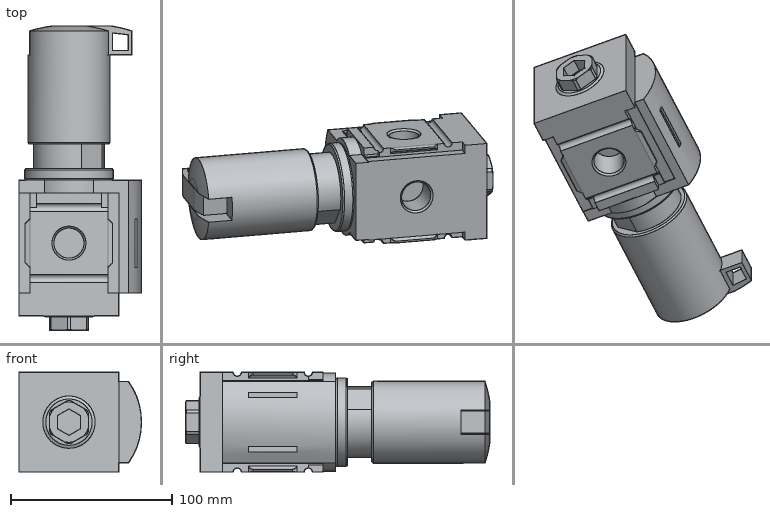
import cadquery as cq
import math


BLOCK_WIDTH = 62.0
HALF_BLOCK = BLOCK_WIDTH / 2
REAR_Y = -45.0
SHELF_HALF_LENGTH = 31.0
SHELF_HALF_HEIGHT = 25.7
PAD_HALF_WIDTH = 24.2

COLLAR_FRONT_Y = 39.0
COLLAR_HALF_HEIGHT = 25.2
BUMP_HALF_WIDTH = 15.1
BUMP_TOP_Z = 30.6
CAP_EDGE_X = 36.9
CAP_TOP_X = 45.0

WINDOW_LENGTH = 30.0
WINDOW_HALF_HEIGHT = 15.2
WINDOW_STEP_X = 40.9

GROOVE_RADIUS = 2.5
GROOVE_Y = 22.0
NOTCH_WIDTH = 4.1
NOTCH_FLOOR_Z = 26.4
LIP_LENGTH = 30.0
LIP_REACH = 2.9
LIP_TOP_DROP = 0.6
LIP_FACE_HEIGHT = 1.2
LIP_ROOT_DROP = 3.7

PORT_DIAMETER = 18.63
PORT_MOUTH_DIAMETER = 21.0
PORT_CHAMFER = (PORT_MOUTH_DIAMETER - PORT_DIAMETER) / 2
PORT_DEPTH = 20.0

PLUG_END_Y = -54.0
SEAT_DIAMETER = 32.4
SEAT_TOP_DIAMETER = 28.7
SEAT_HEIGHT = 0.8
PLUG_FLATS = 24.0
PLUG_DIAMETER = 26.6
PLUG_END_DIAMETER = 25.0
PLUG_END_CHAMFER = 0.5
SOCKET_FLATS = 14.2
SOCKET_DEPTH = 8.0

FLANGE_DIAMETER = 55.0
FLANGE_TOP_Y = 46.25
FLANGE_RIM_DIAMETER = 53.8
FLANGE_CHAMFER_HEIGHT = 1.0
NECK_DIAMETER = 44.0
NECK_FLATS = 40.1
KNOB_DIAMETER = 51.0
KNOB_RADIUS = KNOB_DIAMETER / 2
KNOB_BASE_Y = 61.25
KNOB_TOP_Y = 134.5
KNOB_CHAMFER = 1.0
DOME_RADIUS = 82.0
DOME_FLAT_RADIUS = 13.0

SLOT_WIDTH = 15.0
BAR_WIDTH = 14.0
BAR_HEIGHT = 17.9
BAR_SHIFT = 13.5
EYE_LEFT_X = 27.1
EYE_END_WALL = 2.4
EYE_BOTTOM_WALL = 2.8
EYE_LEFT_TOP_WALL = 4.4
EYE_RIGHT_TOP_WALL = 5.5


def dome_y(radius):
    """Y of the crowned knob end at a distance from its axis; the middle is flat."""
    centre_y = KNOB_TOP_Y - math.sqrt(DOME_RADIUS**2 - DOME_FLAT_RADIUS**2)
    return centre_y + math.sqrt(DOME_RADIUS**2 - radius**2)


def box(x_range, y_range, z_range):
    """Box between two limits on each axis."""
    lengths = [high - low for low, high in (x_range, y_range, z_range)]
    return cq.Workplane("XY").box(*lengths, centered=False).translate(
        (x_range[0], y_range[0], z_range[0]))


def along_y(start_y):
    """Sketch plane with its local axes along X and Z; extrusions run towards -Y."""
    return cq.Workplane("XZ", origin=(0, start_y, 0))


def with_mirror(shape, plane):
    """Shape together with its mirror image."""
    return shape.union(shape.mirror(plane))


def make_block():
    """Block with a grooved pad above and below, between two lower shelves."""
    block = box((-HALF_BLOCK, HALF_BLOCK), (REAR_Y, SHELF_HALF_LENGTH), (-HALF_BLOCK, HALF_BLOCK))
    shelf = box((PAD_HALF_WIDTH, HALF_BLOCK), (-SHELF_HALF_LENGTH, SHELF_HALF_LENGTH),
                (SHELF_HALF_HEIGHT, HALF_BLOCK))
    notch = box((PAD_HALF_WIDTH - NOTCH_WIDTH, PAD_HALF_WIDTH), (GROOVE_Y, SHELF_HALF_LENGTH),
                (NOTCH_FLOOR_Z, HALF_BLOCK))
    grooves = (cq.Workplane("YZ", origin=(-PAD_HALF_WIDTH, 0, 0))
               .pushPoints([(GROOVE_Y, HALF_BLOCK), (-GROOVE_Y, HALF_BLOCK)])
               .circle(GROOVE_RADIUS).extrude(2 * PAD_HALF_WIDTH))
    cuts = with_mirror(shelf.union(notch), "YZ").union(grooves)
    return block.cut(with_mirror(cuts, "XY"))


def make_lips():
    """Undercut lips with bevelled ends along both edges of each pad."""
    tip_x = PAD_HALF_WIDTH + LIP_REACH
    root_z = HALF_BLOCK - LIP_ROOT_DROP
    face_top_z = HALF_BLOCK - LIP_TOP_DROP
    face_bottom_z = face_top_z - LIP_FACE_HEIGHT
    hollow = (PAD_HALF_WIDTH + LIP_REACH / 3, (root_z + 2 * face_bottom_z) / 3)
    half_length = LIP_LENGTH / 2
    profile = (along_y(half_length).moveTo(PAD_HALF_WIDTH, HALF_BLOCK)
               .lineTo(tip_x, face_top_z).lineTo(tip_x, face_bottom_z)
               .threePointArc(hollow, (PAD_HALF_WIDTH, root_z)).close()
               .extrude(LIP_LENGTH))
    outline = (cq.Workplane("XY")
               .polyline([(PAD_HALF_WIDTH, half_length), (tip_x, half_length - LIP_REACH),
                          (tip_x, LIP_REACH - half_length), (PAD_HALF_WIDTH, -half_length)])
               .close().extrude(HALF_BLOCK))
    lip = profile.intersect(outline)
    return with_mirror(with_mirror(lip, "YZ"), "XY")


def make_cap():
    """Crowned gauge cap on the +X side, as long as the collar and the shelves together."""
    length = COLLAR_FRONT_Y + SHELF_HALF_LENGTH
    cap = (along_y(COLLAR_FRONT_Y).moveTo(HALF_BLOCK, -COLLAR_HALF_HEIGHT)
           .lineTo(CAP_EDGE_X, -COLLAR_HALF_HEIGHT)
           .threePointArc((CAP_TOP_X, 0), (CAP_EDGE_X, COLLAR_HALF_HEIGHT))
           .lineTo(HALF_BLOCK, COLLAR_HALF_HEIGHT).close().extrude(length))
    step = box((WINDOW_STEP_X, CAP_TOP_X), (-WINDOW_LENGTH / 2, WINDOW_LENGTH / 2),
               (WINDOW_HALF_HEIGHT, COLLAR_HALF_HEIGHT))
    return cap.cut(with_mirror(step, "XY"))


def make_collar():
    """Front part of the block, with a round bump above and below."""
    return (along_y(COLLAR_FRONT_Y).moveTo(-HALF_BLOCK, COLLAR_HALF_HEIGHT)
            .lineTo(-BUMP_HALF_WIDTH, COLLAR_HALF_HEIGHT)
            .threePointArc((0, BUMP_TOP_Z), (BUMP_HALF_WIDTH, COLLAR_HALF_HEIGHT))
            .lineTo(HALF_BLOCK, COLLAR_HALF_HEIGHT).lineTo(HALF_BLOCK, -COLLAR_HALF_HEIGHT)
            .lineTo(BUMP_HALF_WIDTH, -COLLAR_HALF_HEIGHT)
            .threePointArc((0, -BUMP_TOP_Z), (-BUMP_HALF_WIDTH, -COLLAR_HALF_HEIGHT))
            .lineTo(-HALF_BLOCK, -COLLAR_HALF_HEIGHT).close()
            .extrude(COLLAR_FRONT_Y - SHELF_HALF_LENGTH))


def make_port(direction):
    """Blind port entering the block from the face that looks along the direction."""
    mouth = cq.Plane(origin=direction * HALF_BLOCK, xDir=(0, 1, 0), normal=direction * -1)
    bore = cq.Workplane(mouth).circle(PORT_DIAMETER / 2).extrude(PORT_DEPTH)
    entry = (cq.Workplane(mouth).circle(PORT_MOUTH_DIAMETER / 2)
             .workplane(offset=PORT_CHAMFER).circle(PORT_DIAMETER / 2).loft())
    return bore.union(entry)


def make_hexagon(flats, start_y, length):
    """Hexagon prism going to -Y, with corners at the top and bottom."""
    corner_diameter = flats / math.cos(math.pi / 6)
    return (along_y(start_y).transformed(rotate=(0, 0, 90))
            .polygon(6, corner_diameter).extrude(length))


def revolve_about_y(points):
    """Solid of revolution about the Y axis from (radius, y) points, closed on the axis."""
    return cq.Workplane("XY").polyline(points).close().revolve(360, (0, 0), (0, 1))


def make_plug():
    """Hexagon plug on a conical seat, with its corners rounded off."""
    seat = revolve_about_y([(0, REAR_Y), (SEAT_DIAMETER / 2, REAR_Y),
                            (SEAT_TOP_DIAMETER / 2, REAR_Y - SEAT_HEIGHT),
                            (0, REAR_Y - SEAT_HEIGHT)])
    turned = revolve_about_y([(0, REAR_Y), (PLUG_DIAMETER / 2, REAR_Y),
                              (PLUG_DIAMETER / 2, PLUG_END_Y + PLUG_END_CHAMFER),
                              (PLUG_END_DIAMETER / 2, PLUG_END_Y), (0, PLUG_END_Y)])
    head = make_hexagon(PLUG_FLATS, REAR_Y, REAR_Y - PLUG_END_Y).intersect(turned)
    return head.union(seat)


def make_flange():
    """Round flange, chamfered at both faces."""
    radius = FLANGE_DIAMETER / 2
    rim_radius = FLANGE_RIM_DIAMETER / 2
    return revolve_about_y([(0, COLLAR_FRONT_Y), (rim_radius, COLLAR_FRONT_Y),
                            (radius, COLLAR_FRONT_Y + FLANGE_CHAMFER_HEIGHT),
                            (radius, FLANGE_TOP_Y - FLANGE_CHAMFER_HEIGHT),
                            (rim_radius, FLANGE_TOP_Y), (0, FLANGE_TOP_Y)])


def make_neck():
    """Round neck with two wrench flats, facing +X+Z and -X-Z."""
    height = KNOB_BASE_Y - FLANGE_TOP_Y
    neck = along_y(KNOB_BASE_Y).circle(NECK_DIAMETER / 2).extrude(height)
    between_flats = (along_y(KNOB_BASE_Y).transformed(rotate=(0, 0, 45))
                     .rect(NECK_FLATS, NECK_DIAMETER).extrude(height))
    return neck.intersect(between_flats)


def make_knob():
    """Knob with a crowned end and a slot across it for the locking bar."""
    middle_radius = (DOME_FLAT_RADIUS + KNOB_RADIUS) / 2
    knob = (cq.Workplane("XY").moveTo(0, KNOB_BASE_Y)
            .lineTo(KNOB_RADIUS - KNOB_CHAMFER, KNOB_BASE_Y)
            .lineTo(KNOB_RADIUS, KNOB_BASE_Y + KNOB_CHAMFER)
            .lineTo(KNOB_RADIUS, dome_y(KNOB_RADIUS))
            .threePointArc((middle_radius, dome_y(middle_radius)), (DOME_FLAT_RADIUS, KNOB_TOP_Y))
            .lineTo(0, KNOB_TOP_Y).close().revolve(360, (0, 0), (0, 1)))
    slot = box((-KNOB_RADIUS, KNOB_RADIUS), (KNOB_TOP_Y - BAR_HEIGHT, KNOB_TOP_Y),
               (-SLOT_WIDTH / 2, SLOT_WIDTH / 2))
    return knob.cut(slot)


def make_housing():
    """Housing from the plug to the knob, with ports above, below and on the -X side."""
    housing = make_block()
    for feature in (make_lips(), make_cap(), make_collar(), make_plug(),
                    make_flange(), make_neck(), make_knob()):
        housing = housing.union(feature)
    for direction in (cq.Vector(0, 0, 1), cq.Vector(0, 0, -1), cq.Vector(-1, 0, 0)):
        housing = housing.cut(make_port(direction))
    return housing.cut(make_hexagon(SOCKET_FLATS, PLUG_END_Y + SOCKET_DEPTH, SOCKET_DEPTH))


def make_locking_bar():
    """Bar with the knob's crowned outline and an eye for a padlock at its +X end."""
    floor_y = KNOB_TOP_Y - BAR_HEIGHT
    side_y = dome_y(KNOB_RADIUS)
    middle_radius = (DOME_FLAT_RADIUS + KNOB_RADIUS) / 2
    middle_y = dome_y(middle_radius)
    bar = (cq.Workplane("XY", origin=(BAR_SHIFT, 0, -BAR_WIDTH / 2))
           .moveTo(-KNOB_RADIUS, floor_y).lineTo(KNOB_RADIUS, floor_y)
           .lineTo(KNOB_RADIUS, side_y)
           .threePointArc((middle_radius, middle_y), (DOME_FLAT_RADIUS, KNOB_TOP_Y))
           .lineTo(-DOME_FLAT_RADIUS, KNOB_TOP_Y)
           .threePointArc((-middle_radius, middle_y), (-KNOB_RADIUS, side_y))
           .close().extrude(BAR_WIDTH))

    eye_right_x = BAR_SHIFT + KNOB_RADIUS - EYE_END_WALL
    eye_floor_y = floor_y + EYE_BOTTOM_WALL
    eye = (cq.Workplane("XY", origin=(0, 0, -BAR_WIDTH / 2))
           .polyline([(EYE_LEFT_X, eye_floor_y), (eye_right_x, eye_floor_y),
                      (eye_right_x, KNOB_TOP_Y - EYE_RIGHT_TOP_WALL),
                      (EYE_LEFT_X, KNOB_TOP_Y - EYE_LEFT_TOP_WALL)])
           .close().extrude(BAR_WIDTH))
    return bar.cut(eye)


housing = make_housing()
locking_bar = make_locking_bar()
result = cq.Compound.makeCompound([housing.val(), locking_bar.val()])